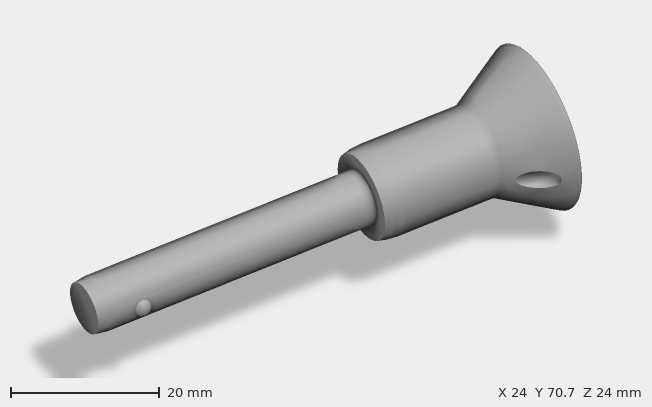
import cadquery as cq
import math

pin_length = 70.7

rim_diameter = 24.0
rim_radius = rim_diameter / 2
rim_rounding = 0.35
head_depth = 9.55
neck_blend = 2.1

sleeve_radius = 6.7
sleeve_end = 27.5
taper_start = 24.7
collar_start = 26.3
collar_radius = 6.6
sleeve_end_radius = 6.3

shank_radius = 4.0
tip_radius = 3.75
tip_taper_length = 1.9
ball_radius = 1.4
ball_reach = 4.9
ball_to_tip = 6.85

hole_diameter = 3.1
hole_offset = 9.2


def make_body():
    """Revolve the head, sleeve and shank, with a tangent arc from cone to sleeve."""
    cone_start = 2 * rim_rounding
    cone_rise = rim_radius - rim_rounding / 2 - sleeve_radius
    cone_angle = math.atan2(cone_rise, head_depth - cone_start)
    tangent_length = neck_blend * math.tan(cone_angle / 2)

    def blend_point(angle):
        """Point of the concave neck arc, with the angle measured from the sleeve end."""
        radius = sleeve_radius + neck_blend * (1 - math.cos(angle))
        depth = head_depth + tangent_length - neck_blend * math.sin(angle)
        return radius, -depth

    return (
        cq.Workplane("XY")
        .lineTo(rim_radius - rim_rounding, 0)
        .radiusArc((rim_radius, -rim_rounding), rim_rounding)
        .lineTo(rim_radius - rim_rounding / 2, -cone_start)
        .lineTo(*blend_point(cone_angle))
        .threePointArc(blend_point(cone_angle / 2), blend_point(0))
        .lineTo(sleeve_radius, -taper_start)
        .lineTo(collar_radius, -collar_start)
        .lineTo(sleeve_end_radius, -sleeve_end)
        .lineTo(shank_radius, -sleeve_end)
        .lineTo(shank_radius, tip_taper_length - pin_length)
        .lineTo(tip_radius, -pin_length)
        .lineTo(0, -pin_length)
        .close()
        .revolve(360, (0, 0, 0), (0, 1, 0))
    )


def make_ball(side):
    """Locking ball on the +X (side = 1) or -X (side = -1) flank of the shank."""
    ball_center = (side * (ball_reach - ball_radius), ball_to_tip - pin_length, 0)
    return cq.Workplane("XY").sphere(ball_radius).translate(ball_center)


def make_lanyard_hole():
    """Cutter running from the back of the head out through its cone."""
    return (
        cq.Workplane("XZ")
        .center(hole_offset, 0)
        .circle(hole_diameter / 2)
        .extrude(head_depth)
    )


result = make_body()
for side in (-1, 1):
    result = result.union(make_ball(side))
result = result.cut(make_lanyard_hole())